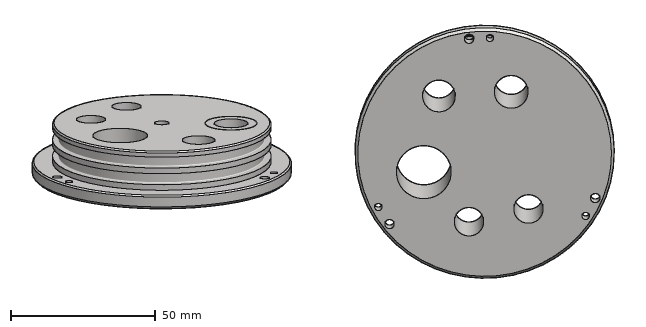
import cadquery as cq
import math

height = 19.0
flange_diameter = 90
flange_height = 5.0
flange_bottom_chamfer = 1.0
flange_top_chamfer = 0.5

plug_diameter = 76.0
groove_diameter = 71.4
groove_width = 4.0
groove_count = 2
land_width = (height - flange_height - groove_count * groove_width) / (groove_count + 1)
groove_root_fillet = 0.3
plug_top_chamfer = 0.5

recessed_port = (11.7, 24.0, 60)
plug_ports = [
    recessed_port,
    (11.3, 26.1, 0),
    (10.2, 25.0, 180),
    (10.2, 25.0, 230),
    (19.0, 22.1, 290),
]
recess_diameter = 18
recess_depth = 0.1

center_hole_diameter = 5.0
center_hole_depth = 10.0
drill_point_angle = 118

flange_hole_radius = 41.6
screw_hole_diameter = 3.2
screw_hole_angle = 30
pin_hole_diameter = 2.5
pin_hole_angle = screw_hole_angle + 10
flange_hole_sets = 3


def disc(diameter, bottom, thickness):
    """Solid disc on the axis."""
    return cq.Workplane("XY").workplane(offset=bottom).circle(diameter / 2).extrude(thickness)


def drill(distance, angle, diameter, bottom=0.0):
    """Cutting cylinder from a given level to the top, placed by polar position."""
    x = distance * math.cos(math.radians(angle))
    y = distance * math.sin(math.radians(angle))
    return disc(diameter, bottom, height - bottom).translate((x, y, 0))


def make_flange():
    flange = disc(flange_diameter, 0, flange_height)
    flange = flange.faces("<Z").chamfer(flange_bottom_chamfer)
    return flange.faces(">Z").chamfer(flange_top_chamfer)


def make_seal_groove(bottom):
    """Ring cut from the plug to form one groove with rounded root corners."""
    outer = disc(plug_diameter, bottom, groove_width)
    groove = outer.cut(disc(groove_diameter, bottom, groove_width))
    root_edges = cq.selectors.RadiusNthSelector(0)
    return groove.edges("%CIRCLE").edges(root_edges).fillet(groove_root_fillet)


def make_plug():
    plug = disc(plug_diameter, flange_height, height - flange_height)
    plug = plug.faces(">Z").chamfer(plug_top_chamfer)
    for index in range(groove_count):
        bottom = flange_height + land_width + index * (land_width + groove_width)
        plug = plug.cut(make_seal_groove(bottom))
    return plug


def make_center_hole():
    radius = center_hole_diameter / 2
    point_height = radius / math.tan(math.radians(drill_point_angle / 2))
    shoulder = height - center_hole_depth
    profile = [(0, height), (radius, height), (radius, shoulder), (0, shoulder - point_height)]
    return cq.Workplane("XZ").polyline(profile).close().revolve(360, (0, 0), (0, 1))


body = make_flange().union(make_plug()).cut(make_center_hole())

for port_diameter, port_distance, port_angle in plug_ports:
    body = body.cut(drill(port_distance, port_angle, port_diameter))

_, recess_distance, recess_angle = recessed_port
body = body.cut(drill(recess_distance, recess_angle, recess_diameter, height - recess_depth))

for index in range(flange_hole_sets):
    turn = index * 360 / flange_hole_sets
    body = body.cut(drill(flange_hole_radius, screw_hole_angle + turn, screw_hole_diameter))
    body = body.cut(drill(flange_hole_radius, pin_hole_angle + turn, pin_hole_diameter))

result = body